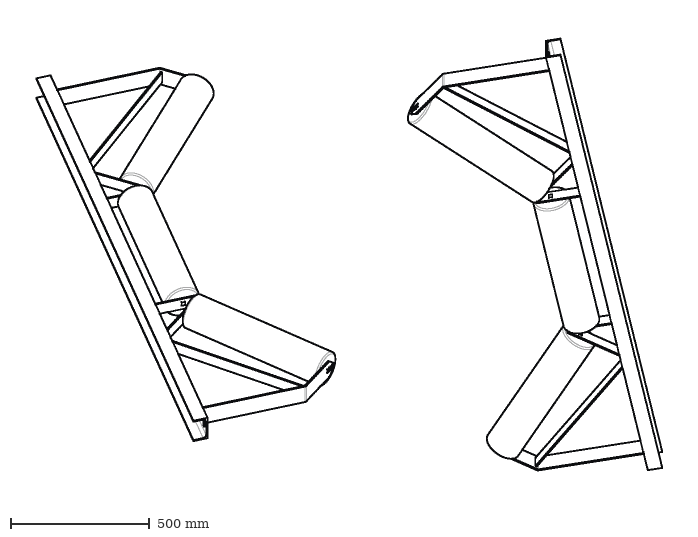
import cadquery as cq
import math


beam_length = 1900
beam_height = 100.0
beam_depth = 53.0
beam_wall = 5.0
beam_root_radius = 11.0
beam_hole_width = 19
beam_hole_height = 27.0
beam_hole_edge_distance = 27.0

roller_diameter = 133
roller_length = 574.0
roller_edge_radius = 5.0
roller_tilt = 40
centre_roller_y = 112.0
wing_roller_x = 560.0
wing_roller_y = 315.0

shaft_height = 13.0
shaft_width = 17.0
roller_gap = 4.0

plate_thickness = 5.0
bend_inner_radius = 4.0
outer_bracket_width = 76
inner_bracket_width = 50.0
outer_upright_x = 882.0
outer_tip_past_axis = 36.0
strut_thickness = 5.0
strut_width = 50.0
strut_foot_x = 492.0
strut_top_x = 875.0

shaft_length = roller_length + 2 * (roller_gap + plate_thickness)
plate_inner_offset = roller_length / 2 + roller_gap
tilt = math.radians(roller_tilt)


def wing_point(along, across):
    """Point in the right wing roller's frame: along its axis outwards, across it away from the beam."""
    return (
        wing_roller_x + along * math.cos(tilt) - across * math.sin(tilt),
        wing_roller_y + along * math.sin(tilt) + across * math.cos(tilt),
    )


def wing_line_at_x(along, x):
    """Point at x on the line square to the right wing roller's axis."""
    across = (wing_point(along, 0)[0] - x) / math.sin(tilt)
    return wing_point(along, across)


def wing_line_at_y(along, y):
    """Point at height y on the line square to the right wing roller's axis."""
    across = (y - wing_point(along, 0)[1]) / math.cos(tilt)
    return wing_point(along, across)


def plate(points, width):
    """Closed outline extruded in Z, symmetric about Z = 0."""
    return cq.Workplane("XY").polyline(points).close().extrude(width / 2, both=True)


def round_bend(bracket, inner_corner, outer_corner):
    """Round the two edges of a plate's bend with concentric radii."""
    for (x, y), radius in (
        (inner_corner, bend_inner_radius),
        (outer_corner, bend_inner_radius + plate_thickness),
    ):
        bracket = bracket.edges(cq.selectors.NearestToPointSelector((x, y, 0))).fillet(radius)
    return bracket


def on_wing_axis(shape):
    """Move a shape built along X at the origin onto the right wing roller's axis."""
    return shape.rotate((0, 0, 0), (0, 0, 1), roller_tilt).translate((wing_roller_x, wing_roller_y, 0))


def make_beam():
    inner_height = beam_height - 2 * beam_wall
    block = cq.Workplane("XY").box(beam_length, beam_depth, beam_height).translate((0, -beam_depth / 2, 0))
    channel = (
        cq.Workplane("XY")
        .box(beam_length, beam_depth, inner_height)
        .translate((0, -beam_depth / 2 - beam_wall, 0))
        .edges("|X and >Y")
        .fillet(beam_root_radius)
    )
    hole_x = beam_length / 2 - beam_hole_edge_distance
    holes = (
        cq.Workplane("XZ")
        .pushPoints([(-hole_x, 0), (hole_x, 0)])
        .slot2D(beam_hole_height, beam_hole_width, 90)
        .extrude(beam_depth)
    )
    return block.cut(channel).cut(holes)


def make_shaft():
    """Rectangular shaft along X, centred on the origin."""
    return cq.Workplane("XY").box(shaft_length, shaft_height, shaft_width)


def make_roller():
    """Roller along X, centred on the origin, with its shaft ends."""
    drum = (
        cq.Workplane("YZ", origin=(-roller_length / 2, 0, 0))
        .circle(roller_diameter / 2)
        .extrude(roller_length)
        .edges("%CIRCLE")
        .fillet(roller_edge_radius)
    )
    return drum.union(make_shaft())


def make_outer_bracket():
    inner = plate_inner_offset
    outer = inner + plate_thickness
    upright_inner_x = outer_upright_x - plate_thickness / 2
    upright_outer_x = outer_upright_x + plate_thickness / 2
    inner_corner = wing_line_at_x(inner, upright_inner_x)
    outer_corner = wing_line_at_x(outer, upright_outer_x)
    bracket = plate(
        [
            (upright_inner_x, 0),
            inner_corner,
            wing_point(inner, outer_tip_past_axis),
            wing_point(outer, outer_tip_past_axis),
            outer_corner,
            (upright_outer_x, 0),
        ],
        outer_bracket_width,
    )
    bracket = round_bend(bracket, inner_corner, outer_corner)

    half_width = outer_bracket_width / 2
    corner = half_width - shaft_width / 2
    for side in (-1, 1):
        cutter = (
            cq.Workplane("YZ")
            .polyline(
                [
                    (outer_tip_past_axis, side * half_width),
                    (outer_tip_past_axis, side * shaft_width / 2),
                    (outer_tip_past_axis - corner, side * half_width),
                ]
            )
            .close()
            .extrude(outer + plate_thickness)
        )
        bracket = bracket.cut(on_wing_axis(cutter))
    slot_depth = outer_tip_past_axis + shaft_height / 2
    slot_middle = (outer_tip_past_axis - shaft_height / 2) / 2
    slot = cq.Workplane("XY").box(shaft_length, slot_depth, shaft_width).translate((0, slot_middle, 0))
    return bracket.cut(on_wing_axis(slot))


def make_inner_bracket():
    near_wing = -plate_inner_offset
    away_wing = near_wing - plate_thickness
    upright_inner_x = plate_inner_offset
    upright_outer_x = upright_inner_x + plate_thickness
    inner_corner = wing_line_at_x(away_wing, upright_outer_x)
    outer_corner = wing_line_at_x(near_wing, upright_inner_x)
    bracket = plate(
        [
            (upright_inner_x, 0),
            outer_corner,
            wing_line_at_y(near_wing, 0),
            wing_line_at_y(away_wing, 0),
            inner_corner,
            (upright_outer_x, 0),
        ],
        inner_bracket_width,
    )
    bracket = round_bend(bracket, inner_corner, outer_corner)
    shaft = make_shaft()
    return bracket.cut(shaft.translate((0, centre_roller_y, 0))).cut(on_wing_axis(shaft))


def make_strut(bracket):
    """Flat brace from the beam into the bend of the outer bracket, fitted to the bracket's inside."""
    top_x, top_y = wing_line_at_x(plate_inner_offset + plate_thickness / 2, strut_top_x)
    slope = math.atan2(top_y, top_x - strut_foot_x)
    side_x = strut_thickness / 2 * math.sin(slope)
    side_y = strut_thickness / 2 * math.cos(slope)
    foot_half_width = strut_thickness / 2 / math.sin(slope)
    strut = plate(
        [
            (strut_foot_x - foot_half_width, 0),
            (strut_foot_x + foot_half_width, 0),
            (top_x + side_x, top_y - side_y),
            (top_x - side_x, top_y + side_y),
        ],
        strut_width,
    )
    return strut.cut(bracket)


def both_sides(right_body):
    """The right-hand body and its mirror image, as separate solids."""
    return [right_body.val(), right_body.mirror("YZ").val()]


beam = make_beam()
centre_roller = make_roller().translate((0, centre_roller_y, 0))
wing_rollers = both_sides(on_wing_axis(make_roller()))
outer_bracket = make_outer_bracket()
outer_brackets = both_sides(outer_bracket)
inner_brackets = both_sides(make_inner_bracket())
struts = both_sides(make_strut(outer_bracket))

result = cq.Compound.makeCompound(
    [beam.val(), centre_roller.val(), *wing_rollers, *outer_brackets, *inner_brackets, *struts]
)